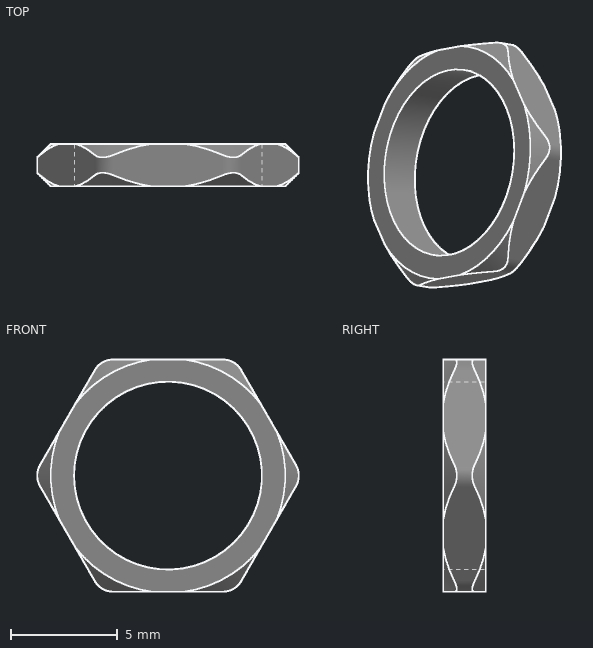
import cadquery as cq
import math

side_count = 6
across_flats = 10.9
thickness = 2.0
bore_diameter = 8.8
corner_radius = 1.0
face_circle_diameter = 11.0
chamfer_angle = 45.0

sharp_corner_diameter = across_flats / math.cos(math.pi / side_count)
half_thickness = thickness / 2


def hexagonal_ring():
    """Hexagon with flats at top and bottom, rounded corners and a plain bore."""
    return (
        cq.Workplane("XZ")
        .polygon(side_count, sharp_corner_diameter)
        .extrude(half_thickness, both=True)
        .edges("|Y")
        .fillet(corner_radius)
        .faces("<Y")
        .workplane()
        .hole(bore_diameter)
    )


def chamfer_envelope():
    """Disc coned on both ends, revolved about Y, that bounds the chamfered corners."""
    face_radius = face_circle_diameter / 2
    outer_radius = sharp_corner_diameter / 2
    chamfer_depth = (outer_radius - face_radius) * math.tan(math.radians(chamfer_angle))
    shoulder = half_thickness - chamfer_depth
    return (
        cq.Workplane("XY")
        .moveTo(0, -half_thickness)
        .lineTo(face_radius, -half_thickness)
        .lineTo(outer_radius, -shoulder)
        .lineTo(outer_radius, shoulder)
        .lineTo(face_radius, half_thickness)
        .lineTo(0, half_thickness)
        .close()
        .revolve(360, (0, 0, 0), (0, 1, 0))
    )


result = hexagonal_ring().intersect(chamfer_envelope())